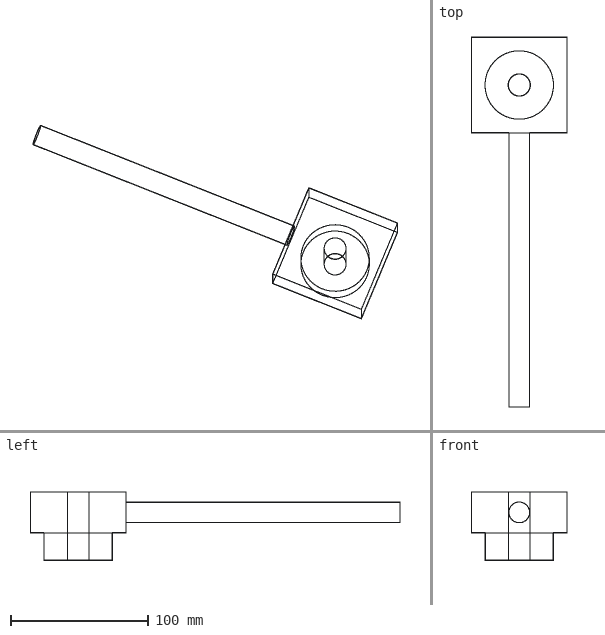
import cadquery as cq

total_length = 270.0
block_side = 70.0
total_height = 50.0
block_height = 30.0
boss_diameter = 50.0
bore_diameter = 16.0
rod_diameter = 15.0

boss_height = total_height - block_height
rod_length = total_length - block_side

block = cq.Workplane("XY").box(block_side, block_side, block_height, centered=(True, True, False))

boss = cq.Workplane("XY").circle(boss_diameter / 2).extrude(-boss_height)

rod = (
    cq.Workplane("XZ", origin=(0, -block_side / 2, block_height / 2))
    .circle(rod_diameter / 2)
    .extrude(rod_length)
)

bore = (
    cq.Workplane("XY", origin=(0, 0, -boss_height))
    .circle(bore_diameter / 2)
    .extrude(total_height)
)

result = block.union(boss).union(rod).cut(bore)